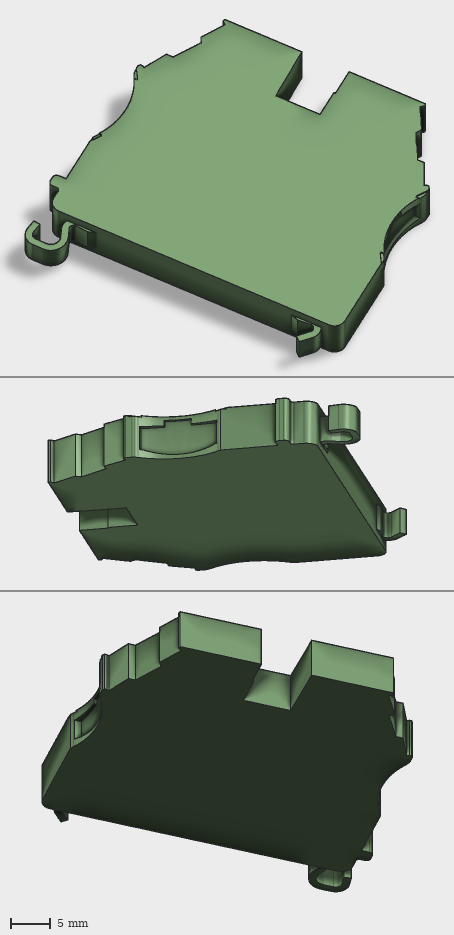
import cadquery as cq
import math

thickness = 5.75
body_height = 36.6
half_width = 21.0
bottom_corner_radius = 1.55

grip_mid_y = 18.15
grip_half_chord = 5.25
grip_apex_x = 19.23
grip_end_x = 20.75
grip_lower_lip_y = 12.45
grip_upper_lip_y = 24.1
grip_upper_facet = (20.95, 23.75)

shoulder_points = [
    grip_upper_facet,
    (half_width, grip_upper_lip_y),
    (half_width, 25.05),
    (20.8, 25.3),
    (20.5, 25.3),
    (20.2, 25.13),
    (18.6, 28.3),
    (17.65, 28.3),
    (15.45, 32.0),
    (15.9, 32.75),
    (14.05, 35.9),
    (14.55, 36.25),
    (14.45, body_height),
]

slot_floor_y = 28.95
slot_left_top_x = -3.35
slot_left_floor_x = -3.15
slot_right_top_x = 3.45
slot_right_floor_x = 3.25
slot_step_y = 32.8

nub_reach = 1.65
nub_low_y = 3.2
nub_high_y = 5.0
nub_tip_radius = 0.6
nub_root_radius = 0.4

notch_depth = 0.17
notch_floor_x = 20.15
notch_edge_offset = 6.45
notch_corner_offset = 5.1
notch_end_offset = 4.9

pocket_half_length = 5.05
pocket_end_low_z = 1.2
pocket_mid_low_z = 0.55
pocket_end_high_z = 4.3
pocket_mid_high_z = 4.6
pocket_end_x = 19.75
pocket_mid_x = 18.8
tab_low_y = 16.75
tab_high_y = 20.25
tab_high_z = 5.3

foot_low_z = 1.05
foot_high_z = 4.45
foot_strip = 0.95
foot_flange_y = 0.328
flange_end_x = 14.1
flange_crest_x = 15.15
flange_crest_y = -0.35
flange_crest_length = 2.4
flange_bend_radius = 1.15
hook_bottom_y = -5.38
hook_points = [
    (-flange_crest_x, foot_flange_y),
    (-18.57, foot_flange_y),
    (-16.4, hook_bottom_y + foot_strip / 2),
    (-22.0, hook_bottom_y + foot_strip / 2),
    (-21.6, -2.05),
]
hook_radii = [flange_bend_radius, 1.75, 1.3]
spring_points = [
    (flange_crest_x, foot_flange_y),
    (19.5, foot_flange_y),
    (16.5, -2.95),
]
spring_radii = [flange_bend_radius]


def mirrored(points):
    """Reflect points across the Y axis."""
    return [(-x, y) for x, y in points]


def both_sides(solid):
    """A right-hand solid together with its left-hand mirror image."""
    return solid.union(solid.mirror("YZ"))


def make_body():
    grip_top = grip_mid_y + grip_half_chord
    grip_bottom = grip_mid_y - grip_half_chord
    outline = (
        cq.Workplane("XY")
        .moveTo(-half_width, 0)
        .lineTo(half_width, 0)
        .lineTo(half_width, grip_lower_lip_y)
        .lineTo(grip_end_x, grip_bottom)
        .threePointArc((grip_apex_x, grip_mid_y), (grip_end_x, grip_top))
    )
    for point in shoulder_points:
        outline = outline.lineTo(*point)
    for point in reversed(mirrored(shoulder_points)):
        outline = outline.lineTo(*point)
    outline = (
        outline.lineTo(-grip_end_x, grip_top)
        .threePointArc((-grip_apex_x, grip_mid_y), (-grip_end_x, grip_bottom))
        .lineTo(-half_width, grip_lower_lip_y)
    )
    body = outline.close().extrude(thickness)
    return body.faces("<Y").edges("|Z").fillet(bottom_corner_radius)


def make_slot():
    return (
        cq.Workplane("XY")
        .polyline(
            [
                (slot_left_top_x, body_height),
                (slot_left_floor_x, slot_floor_y),
                (slot_right_floor_x, slot_floor_y),
                (slot_right_floor_x, slot_step_y),
                (slot_right_top_x, slot_step_y),
                (slot_right_top_x, body_height),
            ]
        )
        .close()
        .extrude(thickness)
    )


def add_nub(body):
    nub_height = nub_high_y - nub_low_y
    nub_length = 2 * nub_reach
    nub = (
        cq.Workplane("XY")
        .center(-half_width, (nub_low_y + nub_high_y) / 2)
        .rect(nub_length, nub_height)
        .extrude(thickness)
        .edges("|Z and <X")
        .fillet(nub_tip_radius)
    )
    root = cq.selectors.NearestToPointSelector((-half_width, nub_low_y, thickness / 2))
    return body.union(nub).edges("|Z").edges(root).fillet(nub_root_radius)


def make_notches():
    notches = cq.Workplane("XY")
    for end in (1, -1):
        notch = (
            cq.Workplane("XY")
            .workplane(offset=thickness - notch_depth)
            .polyline(
                [
                    (half_width, grip_mid_y + end * notch_edge_offset),
                    (notch_floor_x, grip_mid_y + end * notch_corner_offset),
                    (notch_floor_x, grip_mid_y + end * notch_end_offset),
                    (half_width, grip_mid_y + end * notch_end_offset),
                ]
            )
            .close()
            .extrude(notch_depth)
        )
        notches = notches.union(notch)
    return both_sides(notches)


def make_pockets():
    low_y = grip_mid_y - pocket_half_length
    high_y = grip_mid_y + pocket_half_length
    opening = (
        cq.Workplane("YZ")
        .moveTo(low_y, pocket_end_low_z)
        .threePointArc((grip_mid_y, pocket_mid_low_z), (high_y, pocket_end_low_z))
        .lineTo(high_y, pocket_end_high_z)
        .threePointArc((grip_mid_y, pocket_mid_high_z), (low_y, pocket_end_high_z))
        .close()
        .extrude(half_width)
    )
    tab = (
        cq.Workplane("YZ")
        .moveTo(tab_low_y, pocket_end_high_z)
        .lineTo(tab_high_y, pocket_end_high_z)
        .lineTo(tab_high_y, tab_high_z)
        .lineTo(tab_low_y, tab_high_z)
        .close()
        .extrude(half_width)
    )
    depth_limit = (
        cq.Workplane("XY")
        .moveTo(half_width, low_y)
        .lineTo(pocket_end_x, low_y)
        .threePointArc((pocket_mid_x, grip_mid_y), (pocket_end_x, high_y))
        .lineTo(half_width, high_y)
        .close()
        .extrude(thickness)
    )
    return both_sides(opening.union(tab).intersect(depth_limit))


def bent_strip(points, radii):
    """Sweep the metal strip along a path whose inner corners are rounded."""
    path = cq.Workplane("XY").moveTo(*points[0])
    corners = zip(points, points[1:], points[2:], radii)
    for before, corner, after, radius in corners:
        here = cq.Vector(*corner)
        back = (cq.Vector(*before) - here).normalized()
        ahead = (cq.Vector(*after) - here).normalized()
        half_angle = back.getAngle(ahead) / 2
        setback = radius / math.tan(half_angle)
        bisector = (back + ahead).normalized()
        start = here + back * setback
        middle = here + bisector * (radius / math.sin(half_angle) - radius)
        end = here + ahead * setback
        path = path.lineTo(start.x, start.y)
        path = path.threePointArc((middle.x, middle.y), (end.x, end.y))
    path = path.lineTo(*points[-1])
    foot_width = foot_high_z - foot_low_z
    section = cq.Workplane("YZ", origin=(*points[0], (foot_low_z + foot_high_z) / 2))
    return section.rect(foot_strip, foot_width).sweep(path)


def make_flange_crests():
    """Low crests where the ends of the two flanges emerge from the bottom edge."""
    crest_root_x = flange_crest_x + flange_crest_length
    crest = (
        cq.Workplane("XY")
        .workplane(offset=foot_low_z)
        .polyline(
            [
                (flange_end_x, foot_flange_y),
                (flange_end_x, 0),
                (flange_crest_x, flange_crest_y),
                (crest_root_x, foot_flange_y - foot_strip / 2),
                (crest_root_x, foot_flange_y),
            ]
        )
        .close()
        .extrude(foot_high_z - foot_low_z)
    )
    return both_sides(crest)


housing = add_nub(make_body().cut(make_slot()))
housing = housing.cut(make_notches()).cut(make_pockets())
result = (
    housing.union(bent_strip(hook_points, hook_radii))
    .union(bent_strip(spring_points, spring_radii))
    .union(make_flange_crests())
)